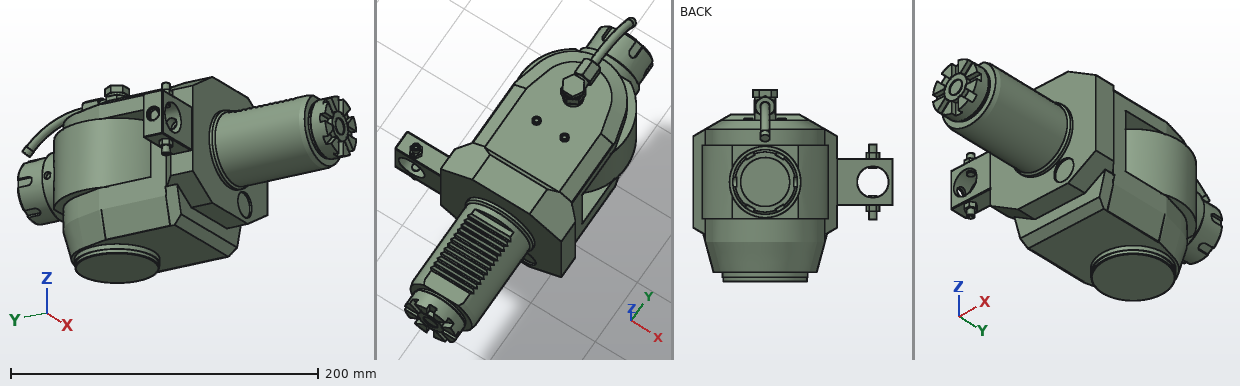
import cadquery as cq
import math


overlap = 2.5

flange_half_x = 47.0
flange_half_z = 44.0
flange_corner_x = 22.2
flange_depth_side = 17.0
flange_depth_top = 21.0
slope = 30
plug_recess_radius = 8.7
plug_recess_depth = 1.5
plug_recess_x = 18.4
plug_recess_z = -32.0

body_half_x = 39.0
body_top_z = 40.0
head_y = 86.0
nose_radius = 35.0
nose_angle = 15
nose_y = head_y + nose_radius
taper_start_z = -39.2
taper_angle = 15
body_bottom_z = -58.7
panel_back_y = 25.4
panel_front_y = 74.5
panel_depth = 0.5
panel_margin = 0.2
foot_y = 16.0
foot_top_z = -33.5
foot_bevel = 5.8
window_half_z = 24.0
window_y = 37.0
drum_radius = 41.0
base_radius = 27.8
base_bottom_z = -65.0
base_step = 0.5
base_step_z = -62.0
base_bevel = 0.5
slope_start_z = flange_half_z - (body_half_x - flange_corner_x) * math.tan(math.radians(slope))
bottom_half_x = body_half_x - (taper_start_z - body_bottom_z) * math.tan(math.radians(taper_angle))

collar_radius = 23.2
collar_front_y = 129.0
neck_radius = 17.2
nut_radius = 21.0
nut_back_y = 130.3
nut_front_y = 150.0
nut_face_radius = 16.0
nut_face_height = 0.7
nut_bevel = 1.5
nut_slot_width = 6.0
nut_slot_end_y = 138.2
nut_slot_depth = 2.5
nut_slot_count = 6
collar_hole_radius = 2.5
collar_hole_depth = 3.0

shank_radius = 25.0
shank_end_y = -71.0
shank_bevel_length = 3.6
shank_bevel_depth = 1.0
seat_radius = 26.3
seat_length = 2.2
flat_z = 19.8
flat_start_y = -8.0
tooth_count = 12
tooth_depth = 1.5
tooth_half_width = 1.81
first_tooth_y = -13.8
last_tooth_y = -57.8

dog_radius = 19.8
dog_slot_width = 5.5
dog_slot_depth = 3.9
dog_slot_count = 8
hub_radius = 10.0
hub_recess = 0.5
hub_hole_radius = 5.5
hub_hole_depth = 0.7
undercut_radius = 19.0
undercut_length = 2.0

arm_end_x = -83.1
arm_half_z = 15.2
arm_back_y = 1.0
arm_front_y = 15.7
arm_bevel = 0.5
arm_bore_x = -70.0
arm_bore_radius = 10.2
arm_screw_y = 6.3
arm_nut_flats = 7.7
arm_nut_height = 3.9
arm_pin_radius = 2.7
arm_pin_top_z = 24.7
arm_pin_tip_z = 9.0
arm_pin_bevel = 0.5
arm_pin_socket_radius = 1.5
arm_pin_socket_depth = 2.0
arm_inlet_radius = 4.8
arm_inlet_depth = 1.2
arm_drill_radius = 4.0
arm_drill_end_x = -53.2
arm_pilot_radius = 2.0
arm_pilot_end_x = -50.8

elbow_radius = 6.8
elbow_hex_flats = 14.0
elbow_hex_bottom_z = 45.2
elbow_hex_top_z = 53.2
cap_flats = 13.8
cap_bottom_z = 55.0
cap_top_z = 60.0
tube_z = 49.0
nipple_radius = 5.0
gland_back_y = 96.7
gland_front_y = 109.0
gland_flats = 12.0
gland_bevel = 0.7
ferrule_radius = 3.1
ferrule_end_y = 110.0
tube_radius = 3.0
tube_bend_radius = 59.7
tube_bend_angle = 45
tip_radius = 3.1
tip_length = 4.4

overall_length = 241.7
tip_reach = tube_bend_radius * math.sin(math.radians(tube_bend_angle))
tip_reach += tip_length * math.cos(math.radians(tube_bend_angle))
tip_reach += tip_radius * math.sin(math.radians(tube_bend_angle))
dog_end_y = ferrule_end_y + tip_reach - overall_length

screw_x = 10.9
screw_y = 59.0
screw_radius = 3.0
screw_height = 1.5
screw_bevel = 0.7
socket_flats = 3.0
socket_depth = 1.0


def cylinder_y(radius, start_y, end_y):
    """Cylinder on the tool axis between two Y positions."""
    disc = cq.Workplane("XZ", origin=(0, start_y, 0)).circle(radius)
    return disc.extrude(start_y - end_y)


def cylinder_z(radius, x, y, start_z, end_z):
    """Vertical cylinder between two heights."""
    return cq.Workplane("XY", origin=(x, y, start_z)).circle(radius).extrude(end_z - start_z)


def hexagon_corners(flats):
    """Circumscribed diameter of a hexagon given across its flats."""
    return flats / math.cos(math.radians(30))


def box(x0, x1, y0, y1, z0, z1):
    """Box between opposite corners."""
    return cq.Workplane("XY").box(x1 - x0, y1 - y0, z1 - z0, centered=False).translate((x0, y0, z0))


def make_flange():
    corner_z = flange_half_z - (flange_half_x - flange_corner_x) * math.tan(math.radians(slope))
    depth = flange_depth_side + flange_half_x - body_half_x
    octagon = [
        (flange_half_x, corner_z),
        (flange_corner_x, flange_half_z),
        (-flange_corner_x, flange_half_z),
        (-flange_half_x, corner_z),
        (-flange_half_x, -corner_z),
        (-flange_corner_x, -flange_half_z),
        (flange_corner_x, -flange_half_z),
        (flange_half_x, -corner_z),
    ]
    prism = cq.Workplane("XZ").polyline(octagon).close().extrude(-depth)
    side_bevel = (
        cq.Workplane("XY")
        .polyline([
            (-flange_half_x, 0),
            (flange_half_x, 0),
            (flange_half_x, flange_depth_side),
            (body_half_x, depth),
            (-body_half_x, depth),
            (-flange_half_x, flange_depth_side),
        ])
        .close()
        .extrude(flange_half_z, both=True)
    )
    bevelled_z = flange_half_z - (depth - flange_depth_top)
    top_bevel = (
        cq.Workplane("YZ")
        .polyline([
            (0, -flange_half_z),
            (0, flange_half_z),
            (flange_depth_top, flange_half_z),
            (depth, bevelled_z),
            (depth, -bevelled_z),
            (flange_depth_top, -flange_half_z),
        ])
        .close()
        .extrude(flange_half_x, both=True)
    )
    recess = cylinder_y(plug_recess_radius, 0, plug_recess_depth)
    recess = recess.translate((plug_recess_x, 0, plug_recess_z))
    return prism.intersect(side_bevel).intersect(top_bevel).cut(recess)


def housing_outline(rear_y, z):
    """Plan outline: parallel cheeks, converging cheeks, then the round nose tangent to them."""
    angle = math.radians(nose_angle)
    tangent_x = nose_radius * math.cos(angle)
    tangent_y = head_y + nose_radius * math.sin(angle)
    shoulder_y = tangent_y - (body_half_x - tangent_x) / math.tan(angle)
    return (
        cq.Workplane("XY", origin=(0, 0, z))
        .moveTo(-body_half_x, rear_y)
        .lineTo(body_half_x, rear_y)
        .lineTo(body_half_x, shoulder_y)
        .lineTo(tangent_x, tangent_y)
        .threePointArc((0, nose_y), (-tangent_x, tangent_y))
        .lineTo(-body_half_x, shoulder_y)
        .close()
    )


def make_panels():
    """Shallow wedges that sink the sloping walls between the flange and the nose."""
    top_half_x = body_half_x - (body_top_z - slope_start_z) / math.tan(math.radians(slope))
    outer_x = body_half_x + overlap
    upper = [
        (top_half_x, body_top_z),
        (body_half_x - panel_depth, slope_start_z),
        (outer_x, slope_start_z),
        (outer_x, body_top_z),
    ]
    lower = [
        (body_half_x, taper_start_z),
        (bottom_half_x - panel_depth, body_bottom_z + panel_margin),
        (outer_x, body_bottom_z + panel_margin),
        (outer_x, taper_start_z),
    ]
    plane = cq.Workplane("XZ", origin=(0, panel_back_y, 0))
    length = panel_front_y - panel_back_y
    right = plane.polyline(upper).close().extrude(-length)
    right = right.union(plane.polyline(lower).close().extrude(-length))
    return right.union(right.mirror("YZ"))


def make_housing():
    rear_y = flange_depth_side
    upper_rear_y = rear_y / 2
    middle = housing_outline(rear_y, taper_start_z).extrude(slope_start_z - taper_start_z)
    upper = housing_outline(upper_rear_y, slope_start_z)
    upper = upper.extrude(body_top_z - slope_start_z, taper=90 - slope)
    lower = housing_outline(rear_y, taper_start_z)
    lower = lower.extrude(body_bottom_z - taper_start_z, taper=taper_angle)
    window = box(-drum_radius, drum_radius, window_y, nose_y, -window_half_z, window_half_z)
    drum = cylinder_z(drum_radius, 0, head_y, -window_half_z, window_half_z)
    drum = drum.intersect(window)
    base = cylinder_z(base_radius, 0, head_y, base_step_z, body_bottom_z)
    rim = cylinder_z(base_radius - base_step, 0, head_y, base_bottom_z, base_step_z)
    rim = rim.faces("<Z").chamfer(base_bevel)
    walls = middle.union(upper).union(lower).cut(make_panels())
    return walls.cut(window).union(drum).union(base).union(rim)


def make_foot():
    """Tapered foot joining the lower housing to the flange."""
    lean = math.tan(math.radians(taper_angle))
    top_half_x = body_half_x + (foot_top_z - taper_start_z) * lean
    front_y = flange_depth_side + flange_half_x - body_half_x
    foot = (
        cq.Workplane("XZ", origin=(0, foot_y, 0))
        .polyline([
            (-top_half_x, foot_top_z),
            (top_half_x, foot_top_z),
            (bottom_half_x, body_bottom_z),
            (-bottom_half_x, body_bottom_z),
        ])
        .close()
        .extrude(foot_y - front_y)
    )
    return foot.faces("<Y").edges("<Z").chamfer(foot_bevel)


def make_collet_end():
    collar = cylinder_y(collar_radius, nose_y - overlap, collar_front_y)
    collar_hole_y = (nose_y + collar_front_y) / 2
    collar_hole = (
        cq.Workplane("YZ", origin=(-collar_radius, collar_hole_y, 0))
        .circle(collar_hole_radius)
        .extrude(collar_hole_depth)
    )
    neck = cylinder_y(neck_radius, collar_front_y, nut_back_y)
    nut = cylinder_y(nut_radius, nut_back_y, nut_front_y).faces(">Y").chamfer(nut_bevel)
    slot_radius = nut_slot_width / 2
    slot_round_y = nut_slot_end_y + slot_radius
    slot = (
        cq.Workplane("YZ", origin=(nut_radius - nut_slot_depth, 0, 0))
        .moveTo(nut_front_y, slot_radius)
        .lineTo(slot_round_y, slot_radius)
        .threePointArc((nut_slot_end_y, 0), (slot_round_y, -slot_radius))
        .lineTo(nut_front_y, -slot_radius)
        .close()
        .extrude(2 * nut_slot_depth)
    )
    for i in range(nut_slot_count):
        nut = nut.cut(slot.rotate((0, 0, 0), (0, 1, 0), i * 360 / nut_slot_count))
    face = cylinder_y(nut_face_radius, nut_front_y, nut_front_y + nut_face_height)
    return collar.cut(collar_hole).union(neck).union(nut).union(face)


def make_shank():
    shank = (
        cq.Workplane("XY")
        .polyline([
            (0, 0),
            (seat_radius, 0),
            (seat_radius, -seat_length),
            (shank_radius, -seat_length - (seat_radius - shank_radius)),
            (shank_radius, shank_end_y + shank_bevel_length),
            (shank_radius - shank_bevel_depth, shank_end_y),
            (0, shank_end_y),
        ])
        .close()
        .revolve(360, (0, 0, 0), (0, 1, 0))
    )
    shank = shank.cut(box(-shank_radius, shank_radius, shank_end_y, flat_start_y, flat_z, shank_radius))
    groove = (
        cq.Workplane("YZ")
        .polyline([
            (first_tooth_y - tooth_half_width, flat_z),
            (first_tooth_y, flat_z - tooth_depth),
            (first_tooth_y + tooth_half_width, flat_z),
        ])
        .close()
        .extrude(shank_radius, both=True)
    )
    tooth_pitch = (last_tooth_y - first_tooth_y) / (tooth_count - 1)
    for i in range(tooth_count):
        shank = shank.cut(groove.translate((0, i * tooth_pitch, 0)))
    return shank


def make_drive_dog():
    undercut = cylinder_y(undercut_radius, shank_end_y, shank_end_y - undercut_length)
    dog = cylinder_y(dog_radius, shank_end_y - undercut_length, dog_end_y)
    slot = box(
        hub_radius - overlap, dog_radius + overlap,
        dog_end_y, dog_end_y + dog_slot_depth,
        -dog_slot_width / 2, dog_slot_width / 2,
    )
    for i in range(dog_slot_count):
        dog = dog.cut(slot.rotate((0, 0, 0), (0, 1, 0), i * 360 / dog_slot_count))
    hub_end_y = dog_end_y + hub_recess
    hub_clearance = cylinder_y(hub_radius, dog_end_y + dog_slot_depth, dog_end_y)
    hub = cylinder_y(hub_radius, dog_end_y + dog_slot_depth, hub_end_y)
    hub_hole = cylinder_y(hub_hole_radius, hub_end_y, hub_end_y + hub_hole_depth)
    return undercut.union(dog.cut(hub_clearance)).union(hub.cut(hub_hole))


def make_clamp_screw():
    """Upper of the two screws that reach into the arm bore, with its lock nut."""
    pin = cylinder_z(arm_pin_radius, arm_bore_x, arm_screw_y, arm_pin_tip_z, arm_pin_top_z)
    pin = pin.faces(">Z").chamfer(arm_pin_bevel)
    socket = cylinder_z(
        arm_pin_socket_radius, arm_bore_x, arm_screw_y,
        arm_pin_top_z - arm_pin_socket_depth, arm_pin_top_z,
    )
    nut = (
        cq.Workplane("XY", origin=(arm_bore_x, arm_screw_y, arm_half_z))
        .polygon(6, hexagon_corners(arm_nut_flats))
        .extrude(arm_nut_height)
    )
    return pin.cut(socket).union(nut)


def make_arm():
    arm = box(arm_end_x, -flange_half_x, arm_back_y, arm_front_y, -arm_half_z, arm_half_z)
    arm = arm.edges("|X").chamfer(arm_bevel).faces("<X").chamfer(arm_bevel)
    bore = cylinder_y(arm_bore_radius, arm_back_y, arm_front_y).translate((arm_bore_x, 0, 0))
    mid_y = (arm_back_y + arm_front_y) / 2
    inlet_plane = cq.Workplane("YZ", origin=(arm_end_x, mid_y, 0))
    inlet = inlet_plane.circle(arm_inlet_radius).extrude(arm_inlet_depth)
    drill = inlet_plane.circle(arm_drill_radius).extrude(arm_drill_end_x - arm_end_x)
    pilot = inlet_plane.circle(arm_pilot_radius).extrude(arm_pilot_end_x - arm_end_x)
    arm = arm.cut(bore).cut(inlet).cut(drill).cut(pilot)
    clamp = make_clamp_screw()
    return arm.union(clamp).union(clamp.mirror("XY"))


def make_elbow():
    stem = cylinder_z(elbow_radius, 0, head_y, body_top_z, cap_bottom_z)
    body = (
        cq.Workplane("XY", origin=(0, head_y, elbow_hex_bottom_z))
        .transformed(rotate=(0, 0, 90))
        .polygon(6, hexagon_corners(elbow_hex_flats))
        .extrude(elbow_hex_top_z - elbow_hex_bottom_z)
    )
    cap = (
        cq.Workplane("XY", origin=(0, head_y, cap_bottom_z))
        .polygon(6, hexagon_corners(cap_flats))
        .extrude(cap_top_z - cap_bottom_z)
    )
    nipple = cylinder_y(nipple_radius, head_y, gland_back_y).translate((0, 0, tube_z))
    gland = (
        cq.Workplane("XZ", origin=(0, gland_back_y, tube_z))
        .transformed(rotate=(0, 0, 90))
        .polygon(6, hexagon_corners(gland_flats))
        .extrude(gland_back_y - gland_front_y)
    )
    rounding = cylinder_y(hexagon_corners(gland_flats) / 2, gland_back_y, gland_front_y)
    gland = gland.intersect(rounding.translate((0, 0, tube_z)).edges().chamfer(gland_bevel))
    return stem.union(body).union(cap).union(nipple).union(gland)


def make_tube():
    """Coolant tube bending down towards the tool, with a straight tip."""
    pivot_z = tube_z - tube_bend_radius
    start = cq.Workplane("XZ", origin=(0, ferrule_end_y, tube_z)).circle(tube_radius)
    bend = start.revolve(tube_bend_angle, (2.5, -tube_bend_radius, 0), (-2.5, -tube_bend_radius, 0))
    tip = cylinder_y(tip_radius, ferrule_end_y, ferrule_end_y + tip_length)
    tip = tip.translate((0, 0, tube_z))
    pivot = (0, ferrule_end_y, pivot_z)
    tip = tip.rotate(pivot, (1, ferrule_end_y, pivot_z), -tube_bend_angle)
    ferrule = cylinder_y(ferrule_radius, gland_front_y, ferrule_end_y).translate((0, 0, tube_z))
    return ferrule.union(bend).union(tip)


def make_top_screw(x):
    screw = cylinder_z(screw_radius, x, screw_y, body_top_z, body_top_z + screw_height)
    screw = screw.faces(">Z").chamfer(screw_bevel)
    socket = (
        cq.Workplane("XY", origin=(x, screw_y, body_top_z + screw_height))
        .polygon(6, hexagon_corners(socket_flats))
        .extrude(-socket_depth)
    )
    return screw.cut(socket)


result = (
    make_housing()
    .union(make_foot())
    .union(make_flange())
    .union(make_collet_end())
    .union(make_shank())
    .union(make_drive_dog())
    .union(make_arm())
    .union(make_elbow())
    .union(make_tube())
    .union(make_top_screw(screw_x))
    .union(make_top_screw(-screw_x))
)